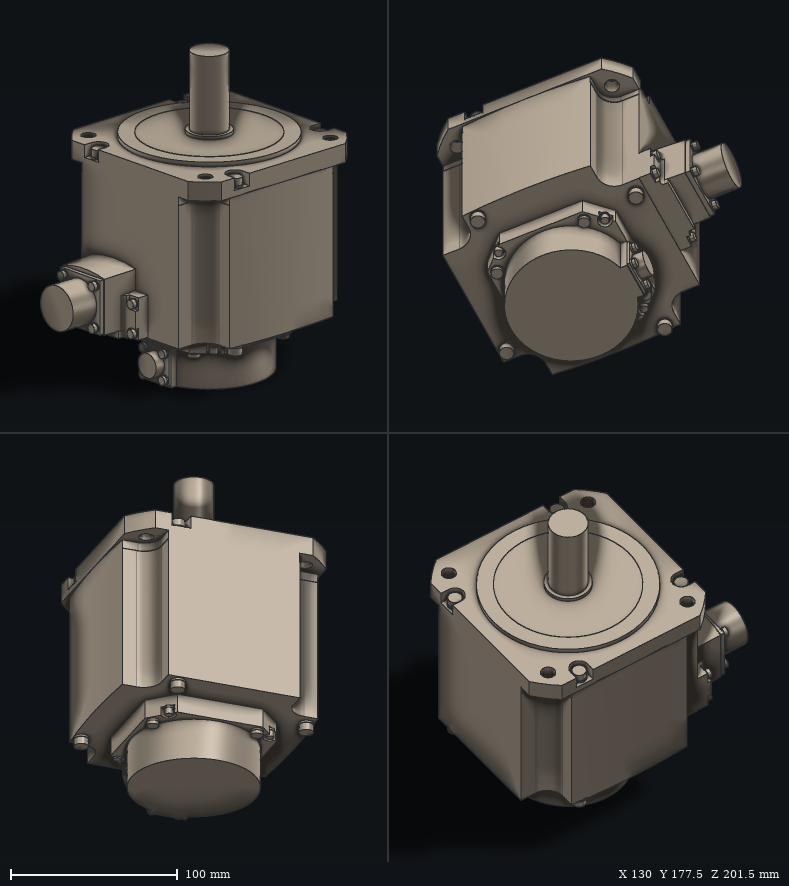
import cadquery as cq
import math


FLANGE_SIDE = 130.0
FLANGE_CORNER_DIAMETER = 165.0
FLANGE_THICKNESS = 12.0
MOUNT_CIRCLE_DIAMETER = 145.0
MOUNT_HOLE_DIAMETER = 9.0
PILOT_DIAMETER = 110.0
PILOT_HEIGHT = 3.0
RECESS_DIAMETER = 89.5
RECESS_DEPTH = 0.2
COLLAR_DIAMETER = 29.0
COLLAR_TOP_Z = 5.0
SHAFT_DIAMETER = 24.0
SHAFT_LENGTH = 55.0

BODY_BOTTOM_Z = -108.5
BODY_HALF = FLANGE_SIDE / 2
BODY_CORNER_X = 63.1
NOTCH_EDGE = 42.5
NOTCH_RADIUS = 11.5
NECK_NOTCH_EDGE = 42.3
NECK_NOTCH_RADIUS = 10.6
NECK_HEIGHT = 5.5

HOUSING_SIDE = 85.0
HOUSING_CHAMFER = 15.0
HOUSING_HEIGHT = 12.0
HOUSING_BOTTOM_Z = BODY_BOTTOM_Z - HOUSING_HEIGHT
COVER_DIAMETER = 80.0
COVER_HEIGHT = 26.0
COVER_BOTTOM_Z = HOUSING_BOTTOM_Z - COVER_HEIGHT

FRAME_SCREW = (8.7, 9.4, 1.3, 6.0)
FRAME_SCREW_X = 34.0
FRAME_SCREW_Y = 59.0
FRAME_POCKET_RADIUS = 6.1
FRAME_POCKET_DEPTH = 8.0

COVER_SCREW = (7.3, 7.6, 1.2, 3.5)
COVER_SCREW_X = 26.0
COVER_SCREW_Y = 36.9

HOUSING_SCREW_X = 36.9
HOUSING_SCREW_Y = 30.8
HOUSING_POCKET_ANGLE = 45.0
HOUSING_POCKET_RADIUS = 4.4
HOUSING_POCKET_DEPTH = 5.4
HOUSING_SCREW = (4.8, 5.4, 1.3, HOUSING_POCKET_DEPTH)

POWER_SCREW = (5.6, 6.0, 0.9, 3.7)
ENCODER_SCREW = (5.6, 6.0, 1.1, 3.2)

ENCODER_SIDE = 23.4
ENCODER_Z = -133.4
ENCODER_PAD_WIDTH = 23.8
ENCODER_PAD_Y = -42.5
ENCODER_PLATE_Y = -44.1
ENCODER_PLUG_DIAMETER = 15.8
ENCODER_PLUG_Y = -51.0
ENCODER_SCREW_OFFSET = 8.5

POWER_X = -13.5
POWER_Z = -85.7
POWER_BOX_BACK_HALF = 18.8
POWER_BOX_FRONT_HALF = 17.8
POWER_BOX_EDGE_Z = -67.2
POWER_BOX_PEAK_Z = -64.9
POWER_BOX_TOP_DROP = 0.8
POWER_BOX_BOTTOM_Z = -103.5
POWER_BOX_FRONT_Y = -90.2
POWER_FOOT_HALF = 18.4
POWER_FOOT_FRONT_Y = -79.2
POWER_PLATE_SIDE = 34.6
POWER_PLATE_Y = -93.2
POWER_PLUG_DIAMETER = 28.7
POWER_PLUG_Y = -112.49
POWER_SCREW_OFFSET = 13.45

BACK_GAP = 0.4
LEDGE_GAP = 0.6
LEDGE_FRONT_Y = -69.5

BRACKET_HALF_WIDTH = 29.0
BRACKET_TOP_Z = -81.2
BRACKET_BOTTOM_Z = -108.1
BRACKET_FRONT_Y = -75.1
BRACKET_FILLET = 1.9
BRACKET_SCREW_OFFSET = 25.5
BRACKET_UPPER_SCREW_Z = -85.4
BRACKET_LOWER_SCREW_Z = -104.4
BRACKET_POCKET_FLOOR_Y = -72.5
BRACKET_POCKET_RADIUS = 3.7
BRACKET_UPPER_POCKET_REACH = 4.3


def box(x_range, y_range, z_range):
    corner = (x_range[0], y_range[0], z_range[0])
    size = (x_range[1] - x_range[0], y_range[1] - y_range[0], z_range[1] - z_range[0])
    return cq.Workplane("XY").box(*size, centered=False).translate(corner)


def cylinder(base, direction, diameter, length):
    solid = cq.Solid.makeCylinder(diameter / 2, length, cq.Vector(*base), cq.Vector(*direction))
    return cq.Workplane(solid)


def screw(base, direction, sizes):
    """Washer and plain round head on the base point; sizes as in the screw tuples."""
    head_diameter, washer_diameter, washer_thickness, height = sizes
    washer = cylinder(base, direction, washer_diameter, washer_thickness)
    return washer.union(cylinder(base, direction, head_diameter, height))


def around_axis(shape):
    """Four copies of the shape, a quarter turn apart about Z."""
    copies = shape
    for turn in range(1, 4):
        copies = copies.union(shape.rotate((0, 0, 0), (0, 0, 1), 90 * turn))
    return copies


def open_pocket(x, y, radius, floor_z, depth, turn=0):
    """Round-ended slot at (x, y), open toward -Y and turned by the given angle, rising from its floor."""
    mouth = cq.Workplane("XY").center(x, y - FLANGE_SIDE / 2).rect(2 * radius, FLANGE_SIDE)
    slot = mouth.extrude(depth)
    slot = slot.union(cylinder((x, y, 0), (0, 0, 1), 2 * radius, depth))
    slot = slot.rotate((x, y, 0), (x, y, 1), turn)
    return slot.translate((0, 0, floor_z))


def shaft_end():
    axis_up = (0, 0, 1)
    stack = cylinder((0, 0, 0), axis_up, PILOT_DIAMETER, PILOT_HEIGHT)
    stack = stack.cut(cylinder((0, 0, PILOT_HEIGHT), (0, 0, -1), RECESS_DIAMETER, RECESS_DEPTH))
    stack = stack.union(cylinder((0, 0, 0), axis_up, COLLAR_DIAMETER, COLLAR_TOP_Z))
    return stack.union(cylinder((0, 0, 0), axis_up, SHAFT_DIAMETER, SHAFT_LENGTH))


def flange():
    plate = cq.Workplane("XY").rect(FLANGE_SIDE, FLANGE_SIDE).extrude(-FLANGE_THICKNESS)
    plate = plate.intersect(cylinder((0, 0, 0), (0, 0, -1), FLANGE_CORNER_DIAMETER, FLANGE_THICKNESS))
    hole_spacing = MOUNT_CIRCLE_DIAMETER / math.sqrt(2)
    holes = (
        cq.Workplane("XY")
        .rect(hole_spacing, hole_spacing, forConstruction=True)
        .vertices()
        .circle(MOUNT_HOLE_DIAMETER / 2)
        .extrude(-FLANGE_THICKNESS)
    )
    pocket = open_pocket(
        -FRAME_SCREW_X, -FRAME_SCREW_Y, FRAME_POCKET_RADIUS, -FRAME_POCKET_DEPTH, FRAME_POCKET_DEPTH
    )
    return plate.cut(holes).cut(around_axis(pocket))


def body_section(notch_edge, notch_radius, top_z, bottom_z):
    """Length of the body; the notch radius rounds the inner corner of each notch."""
    block = (
        cq.Workplane("XY", origin=(0, 0, top_z))
        .moveTo(BODY_CORNER_X, -BODY_HALF)
        .lineTo(BODY_CORNER_X, -NOTCH_EDGE)
        .threePointArc((BODY_HALF, 0), (BODY_CORNER_X, NOTCH_EDGE))
        .lineTo(BODY_CORNER_X, BODY_HALF)
        .lineTo(-BODY_CORNER_X, BODY_HALF)
        .lineTo(-BODY_CORNER_X, NOTCH_EDGE)
        .threePointArc((-BODY_HALF, 0), (-BODY_CORNER_X, -NOTCH_EDGE))
        .lineTo(-BODY_CORNER_X, -BODY_HALF)
        .close()
        .extrude(bottom_z - top_z)
    )
    notch = box((notch_edge, FLANGE_SIDE), (notch_edge, FLANGE_SIDE), (bottom_z, top_z))
    notch = notch.edges("|Z and <X and <Y").fillet(notch_radius)
    return block.cut(around_axis(notch))


def motor_body():
    neck_bottom_z = -FLANGE_THICKNESS - NECK_HEIGHT
    neck = body_section(NECK_NOTCH_EDGE, NECK_NOTCH_RADIUS, -FLANGE_THICKNESS, neck_bottom_z)
    return neck.union(body_section(NOTCH_EDGE, NOTCH_RADIUS, neck_bottom_z, BODY_BOTTOM_Z))


def rear_housing():
    housing = cq.Workplane("XY", origin=(0, 0, BODY_BOTTOM_Z)).rect(HOUSING_SIDE, HOUSING_SIDE)
    housing = housing.extrude(-HOUSING_HEIGHT).edges("|Z").chamfer(HOUSING_CHAMFER)
    pocket = open_pocket(
        HOUSING_SCREW_X,
        -HOUSING_SCREW_Y,
        HOUSING_POCKET_RADIUS,
        HOUSING_BOTTOM_Z,
        HOUSING_POCKET_DEPTH,
        turn=HOUSING_POCKET_ANGLE,
    )
    return housing.cut(around_axis(pocket))


def encoder_cover():
    half = ENCODER_PAD_WIDTH / 2
    cover = cylinder((0, 0, HOUSING_BOTTOM_Z), (0, 0, -1), COVER_DIAMETER, COVER_HEIGHT)
    return cover.union(box((-half, half), (ENCODER_PAD_Y, 0), (COVER_BOTTOM_Z, HOUSING_BOTTOM_Z)))


def axial_screws():
    down = (0, 0, -1)
    pocket_floor_z = -FRAME_POCKET_DEPTH
    front = screw((-FRAME_SCREW_X, -FRAME_SCREW_Y, pocket_floor_z), (0, 0, 1), FRAME_SCREW)
    rear = screw((-FRAME_SCREW_X, -FRAME_SCREW_Y, BODY_BOTTOM_Z), down, FRAME_SCREW)
    cover = screw((COVER_SCREW_X, -COVER_SCREW_Y, HOUSING_BOTTOM_Z), down, COVER_SCREW)
    pocket_ceiling_z = HOUSING_BOTTOM_Z + HOUSING_POCKET_DEPTH
    housing = screw((HOUSING_SCREW_X, -HOUSING_SCREW_Y, pocket_ceiling_z), down, HOUSING_SCREW)
    screws = around_axis(front)
    for one_screw in (rear, cover, housing):
        screws = screws.union(around_axis(one_screw))
    return screws


def plug_and_screws(x, z, plate_side, back_y, plate_y, plug_diameter, plug_y, screw_offset, screw_sizes):
    """Square plate with a round plug facing -Y and a screw near each plate corner."""
    outward = (0, -1, 0)
    half = plate_side / 2
    unit = box((x - half, x + half), (plate_y, back_y), (z - half, z + half))
    unit = unit.union(cylinder((x, plate_y, z), outward, plug_diameter, plate_y - plug_y))
    for dx in (-screw_offset, screw_offset):
        for dz in (-screw_offset, screw_offset):
            unit = unit.union(screw((x + dx, plate_y, z + dz), outward, screw_sizes))
    return unit


def power_box_outline(y, half_width, top_drop):
    """Flat-bottomed outline with an arched top, as a wire at the given Y."""
    outline = (
        cq.Workplane("XZ", origin=(POWER_X, y, 0))
        .moveTo(-half_width, POWER_BOX_BOTTOM_Z)
        .lineTo(half_width, POWER_BOX_BOTTOM_Z)
        .lineTo(half_width, POWER_BOX_EDGE_Z - top_drop)
        .threePointArc((0, POWER_BOX_PEAK_Z - top_drop), (-half_width, POWER_BOX_EDGE_Z - top_drop))
        .close()
    )
    return outline.val()


def power_box_clearance():
    """Thin gaps behind the box and under its rear part, as wide as the box."""
    x_range = (POWER_X - POWER_BOX_BACK_HALF, POWER_X + POWER_BOX_BACK_HALF)
    behind = box(x_range, (-BODY_HALF - BACK_GAP, -BODY_HALF), (BRACKET_TOP_Z, POWER_BOX_PEAK_Z))
    over_ledge = box(x_range, (LEDGE_FRONT_Y, -BODY_HALF), (BRACKET_TOP_Z, BRACKET_TOP_Z + LEDGE_GAP))
    return behind.union(over_ledge)


def power_box():
    back = power_box_outline(-BODY_HALF, POWER_BOX_BACK_HALF, 0)
    front = power_box_outline(POWER_BOX_FRONT_Y, POWER_BOX_FRONT_HALF, POWER_BOX_TOP_DROP)
    shell = cq.Workplane(cq.Solid.makeLoft([back, front], True))
    foot = box(
        (POWER_X - POWER_FOOT_HALF, POWER_X + POWER_FOOT_HALF),
        (POWER_FOOT_FRONT_Y, -BODY_HALF),
        (BRACKET_BOTTOM_Z, POWER_BOX_BOTTOM_Z),
    )
    return shell.union(foot).cut(power_box_clearance())


def power_bracket():
    fillet_x = POWER_FOOT_HALF + BRACKET_FILLET
    fillet_y = BRACKET_FRONT_Y - BRACKET_FILLET
    return (
        cq.Workplane("XY", origin=(POWER_X, 0, BRACKET_BOTTOM_Z))
        .moveTo(-BRACKET_HALF_WIDTH, -BODY_HALF)
        .lineTo(-BRACKET_HALF_WIDTH, BRACKET_FRONT_Y)
        .lineTo(-fillet_x, BRACKET_FRONT_Y)
        .radiusArc((-POWER_FOOT_HALF, fillet_y), BRACKET_FILLET)
        .lineTo(POWER_FOOT_HALF, fillet_y)
        .radiusArc((fillet_x, BRACKET_FRONT_Y), BRACKET_FILLET)
        .lineTo(BRACKET_HALF_WIDTH, BRACKET_FRONT_Y)
        .lineTo(BRACKET_HALF_WIDTH, -BODY_HALF)
        .close()
        .extrude(BRACKET_TOP_Z - BRACKET_BOTTOM_Z)
    )


def bracket_pockets():
    """Screw pockets in the -X half of the bracket, placed about X = 0."""
    outer_x = -BRACKET_HALF_WIDTH
    depth_range = (BRACKET_FRONT_Y - BRACKET_FILLET, BRACKET_POCKET_FLOOR_Y)
    upper_end = -BRACKET_SCREW_OFFSET + BRACKET_UPPER_POCKET_REACH
    upper_bottom = BRACKET_UPPER_SCREW_Z - BRACKET_POCKET_RADIUS
    upper = box((outer_x, upper_end), depth_range, (upper_bottom, BRACKET_TOP_Z))
    upper = upper.edges("|Y and >X and <Z").fillet(BRACKET_POCKET_RADIUS)
    lower_end = -BRACKET_SCREW_OFFSET + BRACKET_POCKET_RADIUS
    lower_top = BRACKET_LOWER_SCREW_Z + BRACKET_POCKET_RADIUS
    lower = box((outer_x, lower_end), depth_range, (BRACKET_BOTTOM_Z, lower_top))
    lower = lower.edges("|Y and >X and >Z").fillet(BRACKET_POCKET_RADIUS)
    return upper.union(lower)


def power_connector():
    pockets = bracket_pockets()
    pockets = pockets.union(pockets.mirror("YZ")).translate((POWER_X, 0, 0))
    unit = power_bracket().cut(pockets).union(power_box())
    for dx in (-BRACKET_SCREW_OFFSET, BRACKET_SCREW_OFFSET):
        for z in (BRACKET_UPPER_SCREW_Z, BRACKET_LOWER_SCREW_Z):
            unit = unit.union(screw((POWER_X + dx, BRACKET_POCKET_FLOOR_Y, z), (0, -1, 0), POWER_SCREW))
    plug = plug_and_screws(
        POWER_X,
        POWER_Z,
        POWER_PLATE_SIDE,
        POWER_BOX_FRONT_Y,
        POWER_PLATE_Y,
        POWER_PLUG_DIAMETER,
        POWER_PLUG_Y,
        POWER_SCREW_OFFSET,
        POWER_SCREW,
    )
    return unit.union(plug)


def encoder_connector():
    return plug_and_screws(
        0,
        ENCODER_Z,
        ENCODER_SIDE,
        ENCODER_PAD_Y,
        ENCODER_PLATE_Y,
        ENCODER_PLUG_DIAMETER,
        ENCODER_PLUG_Y,
        ENCODER_SCREW_OFFSET,
        ENCODER_SCREW,
    )


motor = flange().union(shaft_end()).union(motor_body())
motor = motor.union(rear_housing()).union(encoder_cover()).union(axial_screws())
result = motor.union(power_connector()).union(encoder_connector())